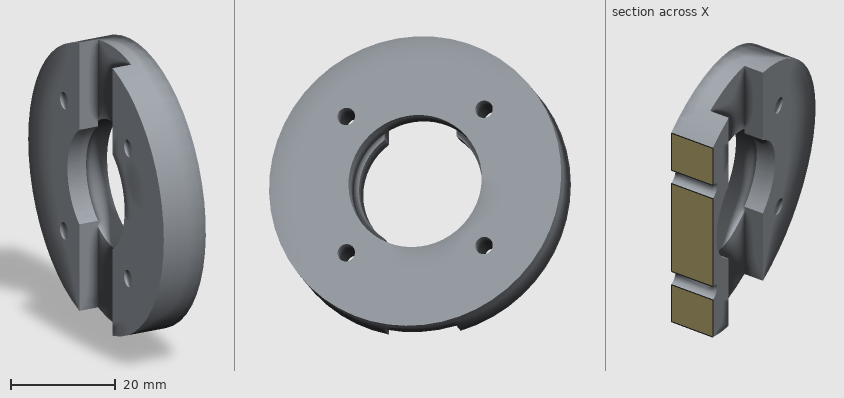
import cadquery as cq
import math

disc_diameter = 57.0
disc_thickness = 9.0
slot_width = 14.0
slot_depth = 4.0
front_bore_diameter = 24.0
rear_bore_diameter = 26.0
bolt_hole_diameter = 3.4
bolt_circle_diameter = 38.0
bolt_hole_count = 4
first_bolt_angle = 45.0


def cylinder_along_y(diameter, start_y, length, x=0.0, z=0.0):
    """Solid cylinder running toward +Y from start_y, centred at (x, z)."""
    return cq.Workplane(
        cq.Solid.makeCylinder(diameter / 2, length, cq.Vector(x, start_y, z), cq.Vector(0, 1, 0))
    )


def cut_slot(body):
    """Full-height channel along Z across the front face."""
    slot = cq.Workplane("XY").box(slot_width, slot_depth, disc_diameter)
    return body.cut(slot.translate((0, slot_depth / 2, 0)))


def cut_stepped_bore(body):
    """Narrow bore down to the slot floor, wider bore from there to the rear."""
    front_bore = cylinder_along_y(front_bore_diameter, 0, disc_thickness)
    rear_bore = cylinder_along_y(rear_bore_diameter, slot_depth, disc_thickness - slot_depth)
    return body.cut(front_bore).cut(rear_bore)


def cut_bolt_holes(body):
    """Through holes evenly spaced on the bolt circle."""
    bolt_circle_radius = bolt_circle_diameter / 2
    for index in range(bolt_hole_count):
        angle = math.radians(first_bolt_angle + index * 360 / bolt_hole_count)
        x = bolt_circle_radius * math.cos(angle)
        z = bolt_circle_radius * math.sin(angle)
        body = body.cut(cylinder_along_y(bolt_hole_diameter, 0, disc_thickness, x, z))
    return body


disc = cylinder_along_y(disc_diameter, 0, disc_thickness)
result = cut_bolt_holes(cut_stepped_bore(cut_slot(disc)))